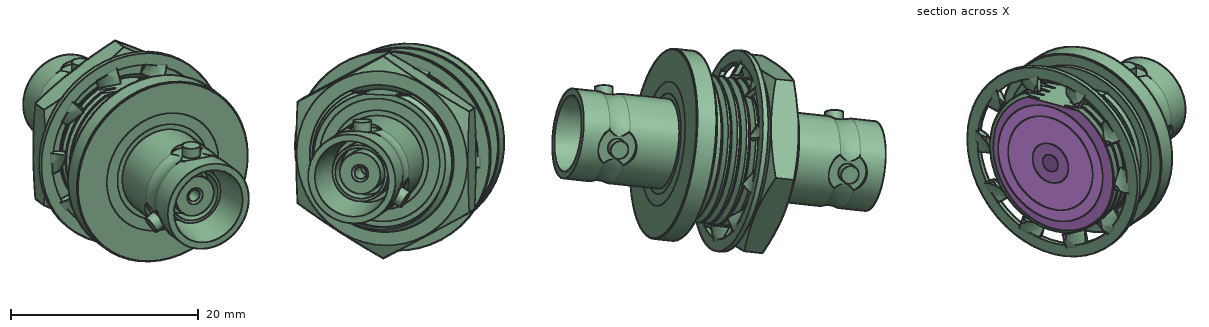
import cadquery as cq

length = 34.37
half_length = length / 2
barrel_radius = 4.83
collar_radius = 5.4
mouth_radius = 4.1
socket_floor_radius = 3.57
socket_depth = 5.5
sleeve_outer_radius = 3.05
sleeve_inner_radius = 2.75
face_depth = 3.2

lug_offset = 13.112
lug_radius = 0.98
lug_tip = 5.55
lug_angles = (0, 120, 240)
spot_radius = 2.148
spot_height = 4.45
groove_half_width = 1.15
groove_depth = 0.2

dielectric_radius = 2.25
contact_radius = 0.93
contact_hole_radius = 0.65
contact_hole_depth = 2.75
countersink_depth = 0.17
core_left = face_depth - half_length
core_right = -core_left

housing_left = -6.43
housing_right = 6.35
thread_radius = 7.97
housing_flat_height = 7.08
end_chamfer = 0.7
flange_left = 4.05
flange_radius = 10.2
flange_chamfer = 0.1
spacer_radius = 6.67

thread_pitch = 1.05
thread_depth = 0.705
thread_start = 3.66
thread_right = 2.75
groove_mouth_half_width = 0.395
groove_root_half_width = 0.05
groove_overshoot = 0.1

gasket_radius = 8.95
gasket_thickness = 0.5

nut_left = -5.5
nut_thickness = 3.15
nut_corner_diameter = 22.0
nut_face_radius = 9.45
nut_bevel = 0.55
nut_bore_radius = 7.4

washer_left = -1.55
washer_thickness = 0.6
washer_radius = 10.8
washer_bore_radius = 9.5
tooth_count = 10
tooth_tip_radius = 8.1
tooth_half_width = 1.25
tooth_twist = 32.0
tooth_root_overlap = 0.2


def cylinder(radius, left, right):
    """Solid cylinder along X between two stations."""
    return cq.Workplane("YZ", origin=(left, 0, 0)).circle(radius).extrude(right - left)


def ring(outer_radius, inner_radius, left, right):
    """Tube along X between two stations."""
    return cylinder(outer_radius, left, right).cut(cylinder(inner_radius, left, right))


def turned(profile):
    """Solid swept round the X axis from a closed profile in the XY plane."""
    return profile.close().revolve(360, (0, 0, 0), (1, 0, 0))


def mirrored_pair(left_feature):
    """The feature at the left end together with its mirror image at the right end."""
    return left_feature.union(left_feature.mirror("YZ"))


def socket():
    """Tapered socket at the left end, leaving a thin sleeve standing in its middle."""
    floor = socket_depth - half_length
    cone = turned(
        cq.Workplane("XY")
        .moveTo(-half_length, 0)
        .lineTo(-half_length, mouth_radius)
        .lineTo(floor, socket_floor_radius)
        .lineTo(floor, 0)
    )
    sleeve = ring(sleeve_outer_radius, sleeve_inner_radius, face_depth - half_length, floor)
    return cone.cut(sleeve)


def lug_groove():
    """Shallow round-bottomed groove round the barrel at the left lugs."""
    return turned(
        cq.Workplane("XY")
        .moveTo(-lug_offset - groove_half_width, barrel_radius)
        .threePointArc(
            (-lug_offset, barrel_radius - groove_depth),
            (-lug_offset + groove_half_width, barrel_radius),
        )
    )


def radial_post(radius, bottom, top, angle):
    """Round post pointing outward at the left lugs, turned about X from the +Z direction."""
    post = cq.Workplane("XY", origin=(-lug_offset, 0, bottom)).circle(radius).extrude(top - bottom)
    return post.rotate((0, 0, 0), (1, 0, 0), angle)


def make_barrel():
    barrel = cylinder(barrel_radius, -half_length, half_length)
    barrel = barrel.union(cylinder(collar_radius, housing_left, housing_right))
    barrel = barrel.cut(cylinder(dielectric_radius, -half_length, half_length))
    barrel = barrel.cut(mirrored_pair(socket())).cut(mirrored_pair(lug_groove()))
    for angle in lug_angles:
        barrel = barrel.cut(mirrored_pair(radial_post(spot_radius, spot_height, lug_tip, angle)))
    for angle in lug_angles:
        barrel = barrel.union(mirrored_pair(radial_post(lug_radius, mouth_radius, lug_tip, angle)))
    return barrel


def make_dielectric():
    return ring(dielectric_radius, contact_radius, core_left, core_right)


def make_contact():
    """Pin with a blind, countersunk socket hole in each end."""
    hole = turned(
        cq.Workplane("XY")
        .moveTo(core_left, 0)
        .lineTo(core_left, contact_radius)
        .lineTo(core_left + countersink_depth, contact_hole_radius)
        .lineTo(core_left + contact_hole_depth, contact_hole_radius)
        .lineTo(core_left + contact_hole_depth, 0)
    )
    return cylinder(contact_radius, core_left, core_right).cut(mirrored_pair(hole))


def make_spacer():
    return ring(spacer_radius, collar_radius, housing_left, housing_right)


def thread_groove():
    """Helical V groove that runs out past the left end."""
    root_radius = thread_radius - thread_depth
    flank_slope = (groove_mouth_half_width - groove_root_half_width) / thread_depth
    outer_half_width = groove_mouth_half_width + groove_overshoot * flank_slope
    run = thread_start - housing_left + thread_pitch
    helix = cq.Wire.makeHelix(thread_pitch, run, root_radius)
    groove = (
        cq.Workplane("XZ")
        .moveTo(root_radius, -groove_root_half_width)
        .lineTo(thread_radius + groove_overshoot, -outer_half_width)
        .lineTo(thread_radius + groove_overshoot, outer_half_width)
        .lineTo(root_radius, groove_root_half_width)
        .close()
        .sweep(cq.Workplane(helix), isFrenet=True)
    )
    thread_frame = cq.Plane(origin=(thread_start, 0, 0), xDir=(0, 0, 1), normal=(-1, 0, 0))
    return cq.Workplane(groove.val().moved(cq.Location(thread_frame)))


def chamfered_envelope():
    """Cylinder larger than the thread, with the housing's end chamfer at its left end."""
    return turned(
        cq.Workplane("XY")
        .moveTo(housing_left, 0)
        .lineTo(housing_left, thread_radius - end_chamfer)
        .lineTo(housing_left + 2 * end_chamfer, thread_radius + end_chamfer)
        .lineTo(flange_left, thread_radius + end_chamfer)
        .lineTo(flange_left, 0)
    )


def make_housing():
    """Threaded tube with a flat along its top and a flange at its right end."""
    housing = cylinder(thread_radius, housing_left, thread_right)
    housing = housing.cut(thread_groove()).intersect(chamfered_envelope())
    housing = housing.union(cylinder(thread_radius, thread_right, flange_left))
    flat_cut = cq.Workplane("XY", origin=(0, 0, housing_flat_height)).rect(length, length).extrude(length)
    housing = housing.cut(flat_cut)
    flange = cylinder(flange_radius, flange_left, housing_right).edges().chamfer(flange_chamfer)
    housing = housing.union(flange)
    return housing.cut(cylinder(spacer_radius, housing_left, housing_right))


def make_gasket(housing):
    """Flat ring against the flange, with its hole shaped to fit the housing."""
    gasket = ring(gasket_radius, spacer_radius, flange_left - gasket_thickness, flange_left)
    return gasket.cut(housing)


def make_nut(housing):
    """Hexagon with a corner up, bevelled on both faces and tapped to fit the housing thread."""
    nut_right = nut_left + nut_thickness
    corner_radius = nut_corner_diameter / 2
    hexagon = (
        cq.Workplane("YZ", origin=(nut_left, 0, 0))
        .polygon(6, nut_corner_diameter)
        .extrude(nut_thickness)
        .rotate((0, 0, 0), (1, 0, 0), 90)
    )
    bore_chamfer = thread_radius - nut_bore_radius
    bevelled_ring = turned(
        cq.Workplane("XY")
        .moveTo(nut_left, thread_radius)
        .lineTo(nut_left, nut_face_radius)
        .lineTo(nut_left + nut_bevel, corner_radius)
        .lineTo(nut_right - nut_bevel, corner_radius)
        .lineTo(nut_right, nut_face_radius)
        .lineTo(nut_right, thread_radius)
        .lineTo(nut_right - bore_chamfer, nut_bore_radius)
        .lineTo(nut_left + bore_chamfer, nut_bore_radius)
    )
    return hexagon.intersect(bevelled_ring).cut(housing)


def make_tooth():
    """Tooth on the -Y side that twists from the flat ring to its inner tip."""
    root_radius = washer_bore_radius + tooth_root_overlap
    tooth_length = root_radius - tooth_tip_radius
    middle = washer_left + washer_thickness / 2
    root_plane = cq.Plane(origin=(middle, -root_radius, 0), xDir=(0, 0, 1), normal=(0, 1, 0))
    return (
        cq.Workplane(root_plane)
        .rect(2 * tooth_half_width, washer_thickness)
        .twistExtrude(tooth_length, tooth_twist)
    )


def make_washer():
    washer = ring(washer_radius, washer_bore_radius, washer_left, washer_left + washer_thickness)
    tooth = make_tooth()
    for index in range(tooth_count):
        angle = index * 360 / tooth_count
        washer = washer.union(tooth.rotate((0, 0, 0), (1, 0, 0), angle))
    return washer


barrel = make_barrel()
dielectric = make_dielectric()
contact = make_contact()
spacer = make_spacer()
housing = make_housing()
gasket = make_gasket(housing)
nut = make_nut(housing)
washer = make_washer()

result = cq.Compound.makeCompound(
    [
        barrel.val(),
        dielectric.val(),
        contact.val(),
        spacer.val(),
        housing.val(),
        gasket.val(),
        nut.val(),
        washer.val(),
    ]
)